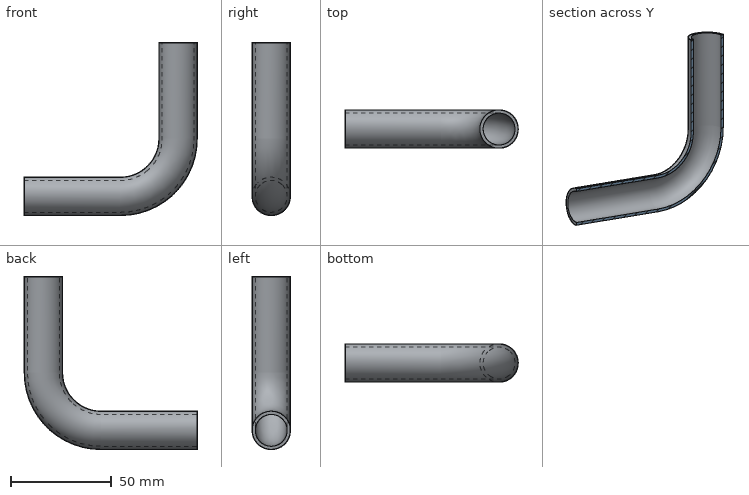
import cadquery as cq

overall_length = 85.7
outer_diameter = 19.0
wall_thickness = 1.6
bend_radius = 1.5 * outer_diameter

outer_radius = outer_diameter / 2
inner_radius = outer_radius - wall_thickness
leg_length = overall_length - outer_radius - bend_radius

centreline = (
    cq.Workplane("XZ")
    .lineTo(leg_length, 0)
    .tangentArcPoint((bend_radius, bend_radius), relative=True)
    .lineTo(leg_length + bend_radius, bend_radius + leg_length)
)

result = (
    cq.Workplane("YZ")
    .circle(outer_radius)
    .circle(inner_radius)
    .sweep(centreline)
)